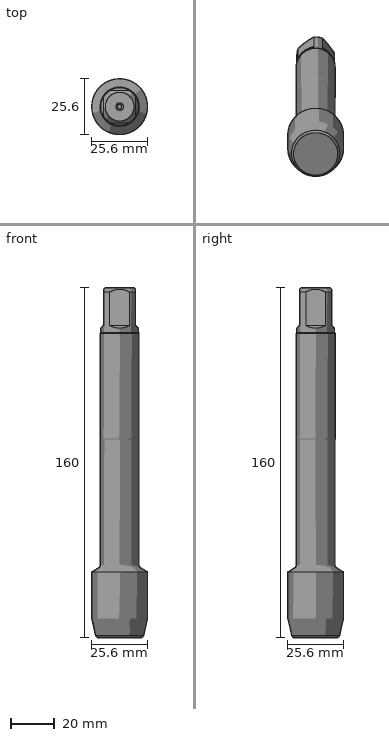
import cadquery as cq

total_height = 160.0

head_radius = 25.6 / 2
head_top_z = 30.0
taper_top_z = 8.8
taper_bottom_radius = 11.0
tip_chamfer_height = 1.0
tip_radius = taper_bottom_radius - tip_chamfer_height

neck_radius = 17.8 / 2
shank_radius = 18.0 / 2
drive_radius = 17.3 / 2
shoulder_rim_radius = 9.6
shoulder_rim_z = 32.0
neck_bottom_z = 33.5
neck_top_z = 90.4
neck_step_height = 0.5
shank_top_z = 139.0
shank_chamfer_height = 0.5
top_chamfer = 2.0

square_width = 14.7
flat_length = 17.3
runout_length = drive_radius - square_width / 2

centre_hole_radius = 2.0 / 2
countersink_radius = 3.5 / 2
countersink_depth = 1.5
centre_hole_depth = 4.0


def make_head():
    """Cutting head with a conical lead taper and a chamfered tip."""
    return (
        cq.Workplane("XZ")
        .lineTo(tip_radius, 0)
        .lineTo(taper_bottom_radius, tip_chamfer_height)
        .lineTo(head_radius, taper_top_z)
        .lineTo(head_radius, head_top_z)
        .lineTo(0, head_top_z)
        .close()
        .revolve(360, (0, 0), (0, 1))
    )


def make_shank_blank():
    """Round shank, from the shoulder on the head up to the drive end."""
    outline = [
        (neck_radius, neck_top_z),
        (shank_radius, neck_top_z + neck_step_height),
        (shank_radius, shank_top_z),
        (drive_radius, shank_top_z + shank_chamfer_height),
        (drive_radius, total_height - top_chamfer),
        (drive_radius - top_chamfer, total_height),
        (0, total_height),
    ]
    return (
        cq.Workplane("XZ")
        .moveTo(0, head_top_z)
        .lineTo(head_radius, head_top_z)
        .lineTo(shoulder_rim_radius, shoulder_rim_z)
        .tangentArcPoint((neck_radius, neck_bottom_z), relative=False)
        .polyline(outline, includeCurrent=True)
        .close()
        .revolve(360, (0, 0), (0, 1))
    )


def make_flat_cutter():
    """Cutter for the +X flat of the drive square, with a sloped lower end."""
    flat_x = square_width / 2
    flat_bottom_z = total_height - flat_length
    runout_bottom_z = flat_bottom_z - runout_length
    return (
        cq.Workplane("XZ")
        .moveTo(flat_x, total_height)
        .lineTo(flat_x, flat_bottom_z)
        .lineTo(drive_radius, runout_bottom_z)
        .lineTo(head_radius, runout_bottom_z)
        .lineTo(head_radius, total_height)
        .close()
        .extrude(head_radius, both=True)
    )


def make_centre_hole():
    """Blind centre hole with a conical mouth, as a cutter."""
    outline = [
        (0, total_height),
        (countersink_radius, total_height),
        (centre_hole_radius, total_height - countersink_depth),
        (centre_hole_radius, total_height - centre_hole_depth),
        (0, total_height - centre_hole_depth),
    ]
    return cq.Workplane("XZ").polyline(outline).close().revolve(360, (0, 0), (0, 1))


def make_shank():
    """Shank with its drive square and centre hole."""
    body = make_shank_blank()
    for angle in range(0, 360, 90):
        body = body.cut(make_flat_cutter().rotate((0, 0, 0), (0, 0, 1), angle))
    return body.cut(make_centre_hole())


head = make_head()
shank = make_shank()
result = cq.Compound.makeCompound([head.val(), shank.val()])